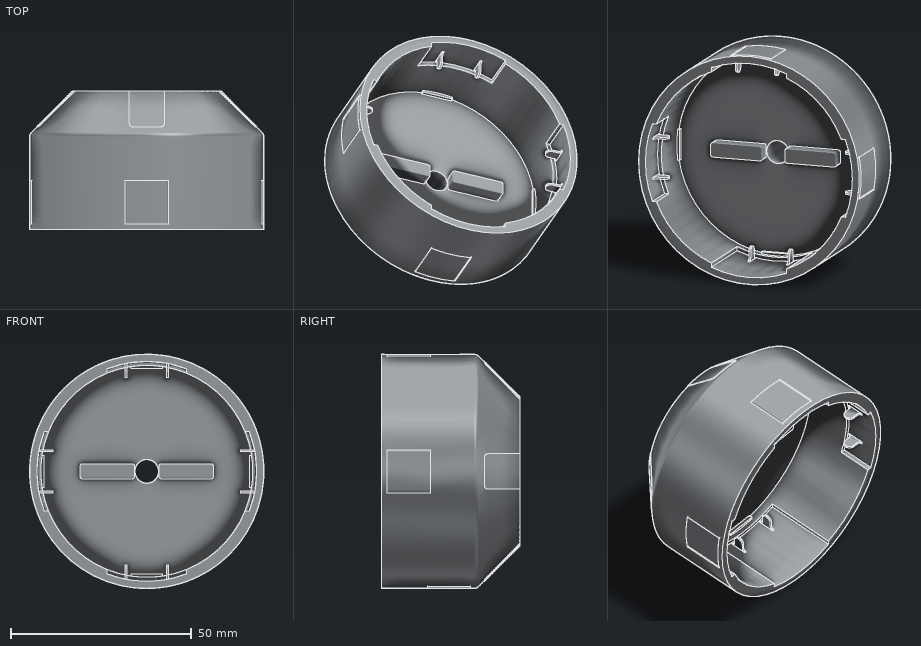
import cadquery as cq
import math

outer_radius = 32.5
length = 38.5
cone_start = 26.45
cone_slope = 45.0
shoulder_fillet = 1.5
back_fillet = 0.65
bore_radius = 29.4
floor_y = 23.65
center_hole_radius = 3.25
back_radius = outer_radius - (length - cone_start) * math.tan(math.radians(cone_slope))

side_angles = [0, 90, 180, 270]
deep_angle = 180
deep_shift = 11.1

pad_width = 11.95
pad_front = 1.6
pad_fillet = 0.8
pad_base_height = 31.15

pocket_width = 22.1
pocket_radius = 30.5
pocket_depth = 10.0

rib_thickness = 0.5
rib_width = 3.0
rib_center_y = 7.15
rib_foot_radius = 1.0
rib_tip_height = 26.0
rib_outer_face = pad_width / 2

bar_length = 8.85
bar_height = 1.05
bar_top = 28.55

boss_length = 15.1
boss_width = 4.15
boss_height = 3.8
boss_center_x = 10.9
boss_corner = 0.65
boss_edge_fillet = 0.25

tongue_width = 9.75
tongue_end_y = 28.55
tongue_corner = 1.0
tongue_lift = 0.1
tongue_base_height = 13.0


def box(x_size, y_range, z_range):
    """Box centred on X = 0 between the given Y and Z limits."""
    y_low, y_high = y_range
    z_low, z_high = z_range
    block = cq.Workplane("XY").box(x_size, y_high - y_low, z_high - z_low, centered=(True, False, False))
    return block.translate((0, y_low, z_low))


def cylinder(radius, y_low, y_high):
    """Cylinder around the Y axis."""
    return cq.Workplane("XZ", origin=(0, y_low, 0)).circle(radius).extrude(y_low - y_high)


def on_side(shape, angle):
    """Turn a shape built on the +Z side around the Y axis."""
    return shape.rotate((0, 0, 0), (0, 1, 0), angle)


def side_shift(angle):
    return deep_shift if angle == deep_angle else 0.0


def outer_form(cone_lift):
    """Solid cylinder and cone, with the cone moved outward by cone_lift along its normal."""
    radial_lift = cone_lift / math.cos(math.radians(cone_slope))
    top_radius = back_radius + radial_lift
    shoulder_y = length - (outer_radius - top_radius) / math.tan(math.radians(cone_slope))
    return (
        cq.Workplane("XY")
        .lineTo(-outer_radius, 0)
        .lineTo(-outer_radius, shoulder_y)
        .lineTo(-top_radius, length)
        .lineTo(0, length)
        .close()
        .revolve(360, (0, 0, 0), (0, 1, 0))
        .faces(">Y")
        .edges()
        .fillet(back_fillet)
    )


def rounded_shell():
    """Outer form with its shoulder between cylinder and cone rounded."""
    shoulder = cq.selectors.BoxSelector(
        (-outer_radius - 0.65, cone_start - 0.05, -outer_radius - 0.65),
        (outer_radius + 0.65, cone_start + 0.05, outer_radius + 0.65),
    )
    return outer_form(0).edges(shoulder).fillet(shoulder_fillet)


def pad_block(shift):
    """Square block under the outer cylinder, before its long edges are rounded."""
    y_low = pad_front + shift
    return box(pad_width, (y_low, y_low + pad_width), (pad_base_height, outer_radius + 0.65)).intersect(
        cylinder(outer_radius, 0, length)
    )


def pad(shift):
    return pad_block(shift).edges("|Y").edges(">Z").fillet(pad_fillet)


def rim_pocket(shift):
    depth = pocket_depth + shift
    return cylinder(pocket_radius, 0, depth).intersect(box(pocket_width, (0, depth), (0, outer_radius)))


def rib(x_low, shift):
    """Rib with a round tip toward the axis and a flared foot on the pocket wall."""
    tip_radius = rib_width / 2
    foot_end = tip_radius + rib_foot_radius
    foot_base = math.sqrt(pocket_radius**2 - rib_outer_face**2)
    return (
        cq.Workplane("YZ", origin=(x_low, rib_center_y + shift, 0))
        .moveTo(-foot_end, pocket_radius)
        .lineTo(-foot_end, foot_base)
        .radiusArc((-tip_radius, foot_base - rib_foot_radius), rib_foot_radius)
        .lineTo(-tip_radius, rib_tip_height + tip_radius)
        .threePointArc((0, rib_tip_height), (tip_radius, rib_tip_height + tip_radius))
        .lineTo(tip_radius, foot_base - rib_foot_radius)
        .radiusArc((foot_end, foot_base), rib_foot_radius)
        .lineTo(foot_end, pocket_radius)
        .close()
        .extrude(rib_thickness)
    )


def boss(x):
    return (
        cq.Workplane("XZ", origin=(x, floor_y, 0))
        .rect(boss_length, boss_width)
        .extrude(boss_height)
        .edges("|Y")
        .fillet(boss_corner)
        .faces("<Y")
        .edges()
        .fillet(boss_edge_fillet)
    )


def tongue():
    """Slightly raised tongue that follows the cone from the back face."""
    outline = box(tongue_width, (tongue_end_y, length), (tongue_base_height, outer_radius))
    outline = outline.edges("|Z and <Y").fillet(tongue_corner)
    return outline.intersect(outer_form(tongue_lift))


def make_housing():
    body = rounded_shell().cut(cylinder(bore_radius, 0, floor_y))
    for angle in side_angles:
        shift = side_shift(angle)
        body = body.cut(on_side(rim_pocket(shift), angle))
        for x_low in (-rib_outer_face, rib_outer_face - rib_thickness):
            body = body.union(on_side(rib(x_low, shift), angle))
        bar = box(bar_length, (floor_y - bar_height, floor_y), (bar_top, bore_radius))
        body = body.union(on_side(bar, angle))
        body = body.union(on_side(tongue(), angle))
        body = body.cut(on_side(pad_block(shift), angle))
    for x in (-boss_center_x, boss_center_x):
        body = body.union(boss(x))
    return body.cut(cylinder(center_hole_radius, 0, length))


housing = make_housing()
pads = [on_side(pad(side_shift(angle)), angle) for angle in side_angles]

result = cq.Compound.makeCompound([housing.val(), *[piece.val() for piece in pads]])